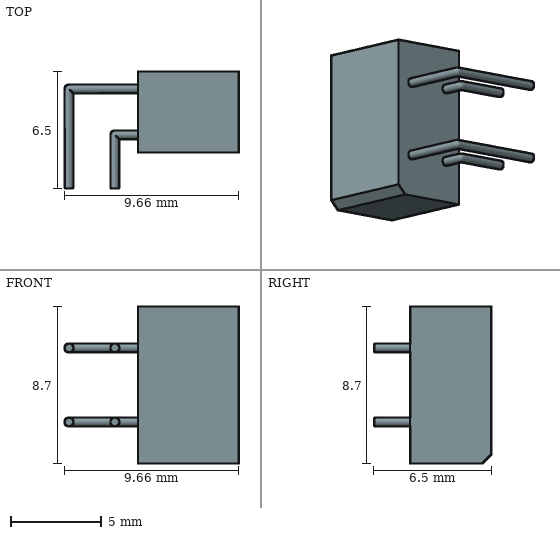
import cadquery as cq

housing_length = 5.6
housing_depth = 4.5
housing_height = 8.7
key_chamfer = 0.5

overall_length = 9.66
lead_diameter = 0.5
lead_pitch = 2.54
pair_spacing = 4.1
outer_lead_inset = 0.98
lead_overhang = 2.0
tip_rounding = 0.1
lead_embed = 0.5

lead_radius = lead_diameter / 2
outer_bend_x = housing_length - overall_length + lead_radius
outer_bend_y = housing_depth / 2 - outer_lead_inset
tip_y = -housing_depth / 2 - lead_overhang


def make_housing():
    """Block with its -X face on X = 0, centred in Y and Z."""
    block = cq.Workplane("XY").box(
        housing_length, housing_depth, housing_height, centered=(False, True, True)
    )
    return block.edges(">Y and <Z").chamfer(key_chamfer)


def make_lead(bend_x, bend_y, z):
    """Round lead leaving the housing along -X and turning to -Y, with a ball at the bend."""
    bend_point = (bend_x, bend_y, z)
    along_x = (
        cq.Workplane("YZ", origin=bend_point)
        .circle(lead_radius)
        .extrude(lead_embed - bend_x)
    )
    along_y = (
        cq.Workplane("XZ", origin=bend_point)
        .circle(lead_radius)
        .extrude(bend_y - tip_y)
        .faces("<Y")
        .edges()
        .fillet(tip_rounding)
    )
    bend = cq.Workplane("XY", origin=bend_point).sphere(lead_radius)
    return along_x.union(along_y).union(bend)


result = make_housing()
for pair_z in (-pair_spacing / 2, pair_spacing / 2):
    for inward_step in (0, lead_pitch):
        lead = make_lead(outer_bend_x + inward_step, outer_bend_y - inward_step, pair_z)
        result = result.union(lead)